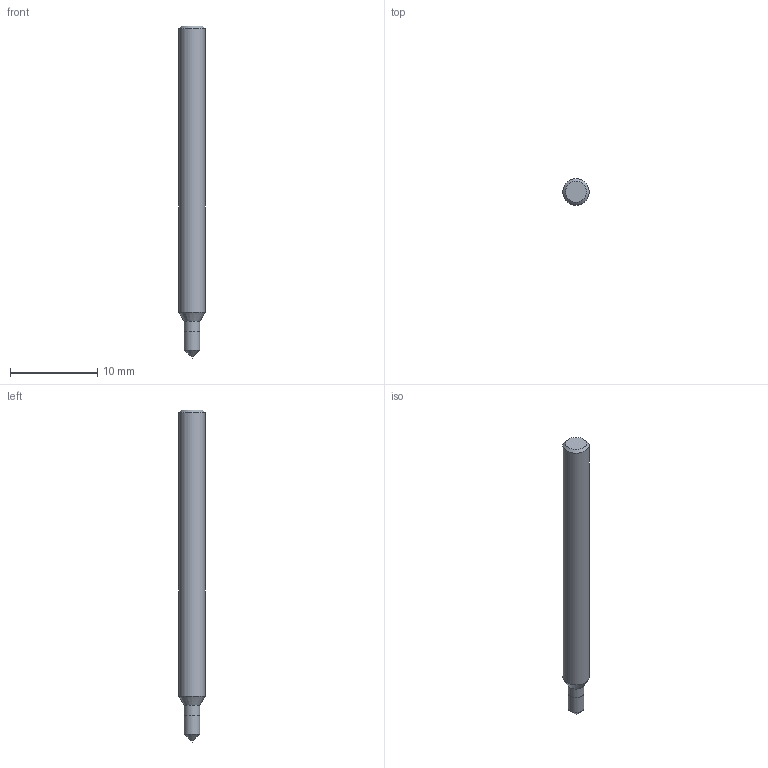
import cadquery as cq
import math

total_length = 38.0
shank_diameter = 3.0
neck_diameter = 1.8

end_chamfer = 0.3
point_half_angle = 45.0
shoulder_half_angle = 30.0

tip_top = 3.0
neck_top = 4.2

shank_radius = shank_diameter / 2
neck_radius = neck_diameter / 2
point_height = neck_radius / math.tan(math.radians(point_half_angle))
shoulder_height = (shank_radius - neck_radius) / math.tan(math.radians(shoulder_half_angle))
shoulder_top = neck_top + shoulder_height


def revolve_about_z(outline):
    """Turn an outline of (radius, height) points into a round solid about Z."""
    return cq.Workplane("XZ").polyline(outline).close().revolve(360, (0, 0, 0), (0, 1, 0))


def make_tip():
    """Conical point with a cylindrical length at the neck diameter."""
    return revolve_about_z([
        (0, 0),
        (neck_radius, point_height),
        (neck_radius, tip_top),
        (0, tip_top),
    ])


def make_shank():
    """Chamfered shank that tapers down to a short neck carrying the tip."""
    return revolve_about_z([
        (0, tip_top),
        (neck_radius, tip_top),
        (neck_radius, neck_top),
        (shank_radius, shoulder_top),
        (shank_radius, total_length - end_chamfer),
        (shank_radius - end_chamfer, total_length),
        (0, total_length),
    ])


tip = make_tip()
shank = make_shank()

result = cq.Compound.makeCompound([tip.val(), shank.val()])